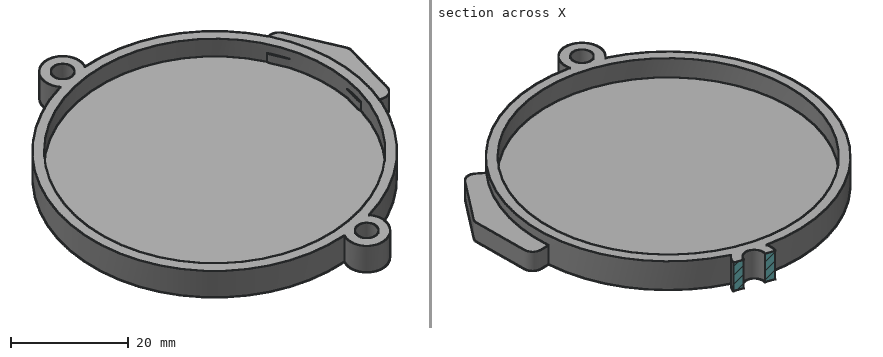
import cadquery as cq
import math

tray_radius = 31.0
tray_height = 6.0
wall_thickness = 2.0
floor_thickness = 2.0
pocket_radius = tray_radius - wall_thickness

lug_hole_diameter = 4.0
lug_radius = 4.0
lug_offset = tray_radius + lug_hole_diameter / 2

crest_height = 4.0
crest_top_y = 36.7
bar_corner_radius = 2.0
bar_core_length = 11.3
bar_core_width = 2.0
bar_slope = 19.0
crest_pivot_y = crest_top_y - bar_corner_radius


def make_tray_with_lugs():
    """Disc and lugs, hollowed from above, with a through hole in each lug."""
    lug_centres = [(-lug_offset, 0), (lug_offset, 0)]
    body = cq.Workplane("XY").circle(tray_radius).extrude(tray_height)
    lugs = cq.Workplane("XY").pushPoints(lug_centres).circle(lug_radius).extrude(tray_height)
    holes = cq.Workplane("XY").pushPoints(lug_centres).circle(lug_hole_diameter / 2).extrude(tray_height)
    pocket = (
        cq.Workplane("XY")
        .workplane(offset=floor_thickness)
        .circle(pocket_radius)
        .extrude(tray_height - floor_thickness)
    )
    return body.union(lugs).cut(holes).cut(pocket)


def make_crest_bar(side):
    """Rounded bar falling away from the peak towards +X (side=1) or -X (side=-1).

    The outer corner centre at the peak is the pivot. The inner long edge sits
    inside the tray wall and breaks slightly through into the pocket.
    """
    slope = math.radians(bar_slope)
    along = bar_core_length / 2
    inward = bar_core_width / 2
    centre_x = side * (along * math.cos(slope) - inward * math.sin(slope))
    centre_y = crest_pivot_y - along * math.sin(slope) - inward * math.cos(slope)
    return (
        cq.Workplane("XY")
        .rect(bar_core_length + 2 * bar_corner_radius, bar_core_width + 2 * bar_corner_radius)
        .extrude(crest_height)
        .edges("|Z")
        .fillet(bar_corner_radius)
        .rotate((0, 0, 0), (0, 0, 1), -side * bar_slope)
        .translate((centre_x, centre_y, 0))
    )


result = make_tray_with_lugs()
for bar_side in (-1, 1):
    result = result.union(make_crest_bar(bar_side))